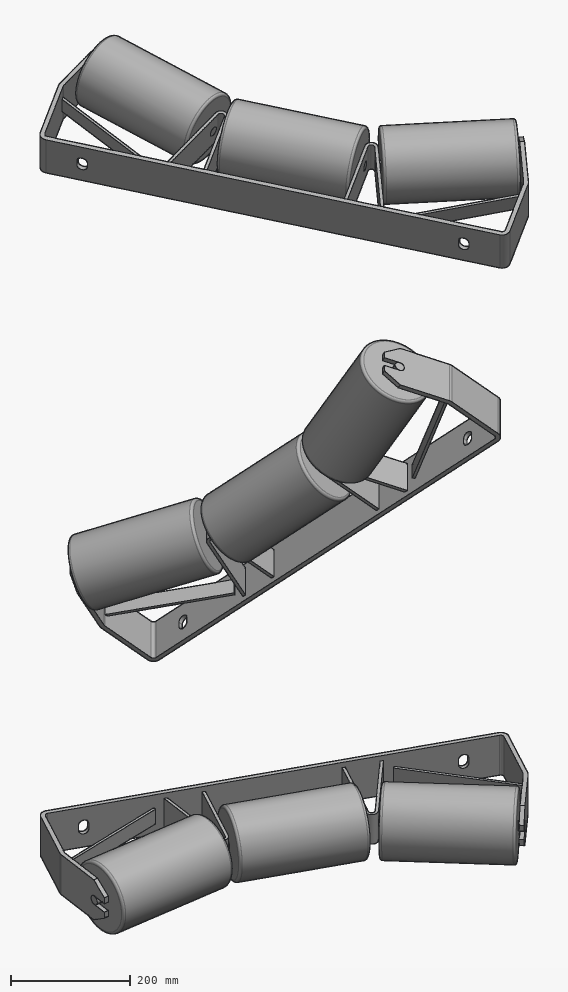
import cadquery as cq
import math

overall_length = 820.0
plate_height = 82.0
bracket_height = 61.0
trough_angle = 20.0

frame_thickness = 8.0
frame_bend_radius = 14.0
frame_bend_y = 125.5
arm_length = 121.0
arm_taper_length = 29.5
arm_tip_width = 42.0

mount_slot_x = 333.0
mount_slot_width = 18.0
mount_slot_height = 28.0

roller_diameter = 133.0
roller_length = 230.5
roller_fillet = 5.0
shaft_diameter = 17.0
center_roller_y = 125.5
side_roller_x = 258.0
side_roller_y = 174.25

bracket_thickness = 6.0
bracket_bend_radius = 11.5
bracket_bend_y = 143.0
bracket_gap = 4.5

strut_angle = 30.0
strut_thickness = 5.0
strut_height = 30.0
strut_tip_x = 208.0
strut_tip_y = 13.0

half_length = overall_length / 2
tilt_cos = math.cos(math.radians(trough_angle))
tilt_sin = math.sin(math.radians(trough_angle))
frame_inner_radius = frame_bend_radius - frame_thickness
bracket_inner_radius = bracket_bend_radius - bracket_thickness
bracket_face_x = roller_length / 2 + bracket_gap
bracket_bend_x = bracket_face_x + bracket_bend_radius
frame_bend_x = half_length - frame_bend_radius


def on_right_bend(center_x, center_y, radius, angle):
    """Point on a bend at an angle measured in degrees from +X."""
    turn = math.radians(angle)
    return center_x + radius * math.cos(turn), center_y + radius * math.sin(turn)


def along_tilted_plate(point, distance):
    """Point moved up along the right-hand tilted plates, which lean towards the middle."""
    return point[0] - distance * tilt_sin, point[1] + distance * tilt_cos


def outward_reach(x, y):
    """Distance of a point from the origin, measured along the right side roller's axis."""
    return x * tilt_cos + y * tilt_sin


def mirrored(body):
    return body.mirror("YZ")


center_shaft_half = bracket_face_x + bracket_thickness
side_roller_reach = outward_reach(side_roller_x, side_roller_y)
arm_outer_reach = outward_reach(frame_bend_x, frame_bend_y) + frame_bend_radius
side_shaft_outer = arm_outer_reach - side_roller_reach
bracket_far_reach = outward_reach(bracket_bend_x, bracket_bend_y) + bracket_inner_radius
side_shaft_inner = side_roller_reach - bracket_far_reach


def place_on_side(body):
    """Move a body built along X about the origin to the right side roller's place."""
    return body.rotate((0, 0, 0), (0, 0, 1), trough_angle).translate((side_roller_x, side_roller_y, 0))


def shaft(start, end):
    return cq.Workplane("YZ").workplane(offset=start).circle(shaft_diameter / 2).extrude(end - start)


def roller(shaft_start, shaft_end):
    """Roller about the X axis with one shaft through it."""
    shell = (
        cq.Workplane("YZ")
        .circle(roller_diameter / 2)
        .extrude(roller_length)
        .translate((-roller_length / 2, 0, 0))
        .faces("<X or >X")
        .edges()
        .fillet(roller_fillet)
    )
    return shell.union(shaft(shaft_start, shaft_end))


def frame_half():
    """Right half of the bent frame: back plate, side wall and tilted arm."""
    def corner(radius, angle):
        return on_right_bend(frame_bend_x, frame_bend_radius, radius, angle)

    def arm_bend(radius, angle):
        return on_right_bend(frame_bend_x, frame_bend_y, radius, angle)

    arm_outer_start = arm_bend(frame_bend_radius, trough_angle)
    arm_inner_start = arm_bend(frame_inner_radius, trough_angle)
    half = (
        cq.Workplane("XY")
        .moveTo(0, 0)
        .lineTo(*corner(frame_bend_radius, -90))
        .threePointArc(corner(frame_bend_radius, -45), corner(frame_bend_radius, 0))
        .lineTo(*arm_bend(frame_bend_radius, 0))
        .threePointArc(arm_bend(frame_bend_radius, trough_angle / 2), arm_outer_start)
        .lineTo(*along_tilted_plate(arm_outer_start, arm_length))
        .lineTo(*along_tilted_plate(arm_inner_start, arm_length))
        .lineTo(*arm_inner_start)
        .threePointArc(arm_bend(frame_inner_radius, trough_angle / 2), arm_bend(frame_inner_radius, 0))
        .lineTo(*corner(frame_inner_radius, 0))
        .threePointArc(corner(frame_inner_radius, -45), corner(frame_inner_radius, -90))
        .lineTo(0, frame_thickness)
        .close()
        .extrude(plate_height / 2, both=True)
    )
    return half.cut(arm_cuts()).cut(mounting_slot())


def arm_cuts():
    """Tapered tip corners and the open shaft slot of the right arm."""
    arm_start = on_right_bend(frame_bend_x, frame_bend_y, frame_bend_radius, trough_angle)
    tip_x, tip_y = along_tilted_plate(arm_start, arm_length)
    tip = (tip_y - side_roller_y) * tilt_cos - (tip_x - side_roller_x) * tilt_sin
    taper_start = tip - arm_taper_length
    cut_depth = 2 * side_shaft_outer
    side_plane = cq.Workplane("YZ")
    slot_end = side_plane.circle(shaft_diameter / 2).extrude(cut_depth)
    slot_sides = side_plane.center(tip / 2, 0).rect(tip, shaft_diameter).extrude(cut_depth)
    cuts = slot_end.union(slot_sides)
    for side in (-1, 1):
        corner = (
            cq.Workplane("YZ")
            .polyline([
                (taper_start, side * plate_height / 2),
                (tip, side * arm_tip_width / 2),
                (tip, side * plate_height / 2),
            ])
            .close()
            .extrude(cut_depth)
        )
        cuts = cuts.union(corner)
    return place_on_side(cuts)


def mounting_slot():
    return (
        cq.Workplane("XZ")
        .center(mount_slot_x, 0)
        .slot2D(mount_slot_height, mount_slot_width, 90)
        .extrude(-frame_thickness)
    )


def bracket():
    """Right bracket: upright leg, round top bend and tilted leg, standing on the back plate."""
    def bend(radius, angle):
        return on_right_bend(bracket_bend_x, bracket_bend_y, radius, angle)

    def foot(radius):
        x, y = bend(radius, trough_angle)
        return along_tilted_plate((x, y), (frame_thickness - y) / tilt_cos)

    middle_angle = (180 + trough_angle) / 2
    plate = (
        cq.Workplane("XY")
        .moveTo(bracket_face_x, frame_thickness)
        .lineTo(*bend(bracket_bend_radius, 180))
        .threePointArc(bend(bracket_bend_radius, middle_angle), bend(bracket_bend_radius, trough_angle))
        .lineTo(*foot(bracket_bend_radius))
        .lineTo(*foot(bracket_inner_radius))
        .lineTo(*bend(bracket_inner_radius, trough_angle))
        .threePointArc(bend(bracket_inner_radius, middle_angle), bend(bracket_inner_radius, 180))
        .lineTo(bracket_face_x + bracket_thickness, frame_thickness)
        .close()
        .extrude(bracket_height / 2, both=True)
    )
    center_hole = shaft(0, center_shaft_half).translate((0, center_roller_y, 0))
    side_hole = place_on_side(shaft(-side_shaft_inner, 0))
    return plate.cut(center_hole).cut(side_hole)


def strut():
    """Right strut, from the side wall down to the back plate."""
    slope_cos = math.cos(math.radians(strut_angle))
    slope_sin = math.sin(math.radians(strut_angle))
    slope = slope_sin / slope_cos
    wall_x = half_length - frame_thickness
    lower_x = strut_tip_x + strut_thickness * slope_sin
    lower_y = strut_tip_y - strut_thickness * slope_cos
    return (
        cq.Workplane("XY")
        .polyline([
            (strut_tip_x, strut_tip_y),
            (wall_x, strut_tip_y + (wall_x - strut_tip_x) * slope),
            (wall_x, lower_y + (wall_x - lower_x) * slope),
            (lower_x, lower_y),
        ])
        .close()
        .extrude(strut_height / 2, both=True)
    )


right_half = frame_half()
frame = right_half.union(mirrored(right_half))
center_roller = roller(-center_shaft_half, center_shaft_half).translate((0, center_roller_y, 0))
side_roller = place_on_side(roller(-side_shaft_inner, side_shaft_outer))

bodies = [frame.val(), center_roller.val()]
for right_body in (side_roller, bracket(), strut()):
    bodies.append(right_body.val())
    bodies.append(mirrored(right_body).val())

result = cq.Compound.makeCompound(bodies)